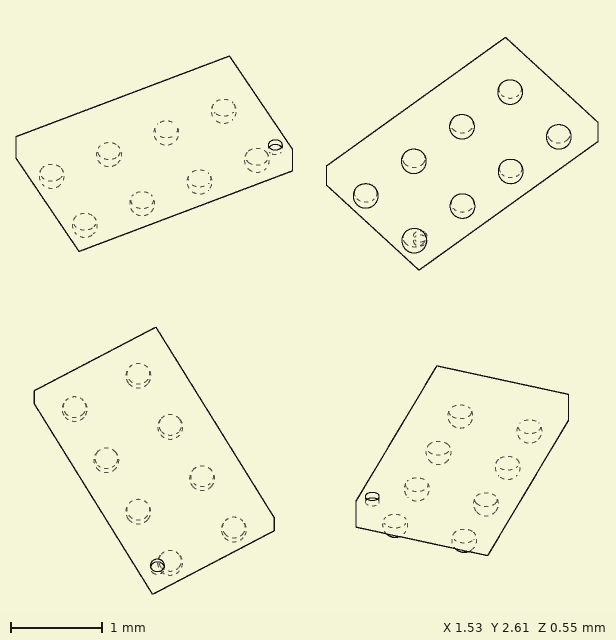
import cadquery as cq

BODY_WIDTH = 1.53
BODY_LENGTH = 2.61
OVERALL_HEIGHT = 0.55
BODY_HEIGHT = 0.36
EDGE_FILLET = 0.01

BALL_DIAMETER = 0.27
BALL_COLUMNS = 2
BALL_ROWS = 4
BALL_PITCH_X = 0.80
BALL_PITCH_Y = 0.70

MARK_DIAMETER = 0.15
MARK_INSET = 0.142
MARK_DEPTH = 0.075

BODY_BOTTOM = OVERALL_HEIGHT - BODY_HEIGHT
BALL_RADIUS = BALL_DIAMETER / 2


def make_body():
    """Rectangular body with all edges slightly rounded."""
    block = cq.Workplane("XY").box(
        BODY_WIDTH, BODY_LENGTH, BODY_HEIGHT, centered=(True, True, False)
    )
    return block.edges().fillet(EDGE_FILLET).translate((0, 0, BODY_BOTTOM))


def make_mark():
    """Shallow round recess in the top face, near the +X +Y corner."""
    mark_x = BODY_WIDTH / 2 - MARK_INSET
    mark_y = BODY_LENGTH / 2 - MARK_INSET
    return (
        cq.Workplane("XY", origin=(mark_x, mark_y, OVERALL_HEIGHT - MARK_DEPTH))
        .circle(MARK_DIAMETER / 2)
        .extrude(MARK_DEPTH)
    )


def make_balls():
    """Grid of solder balls centred under the body, sunk into its underside."""
    return (
        cq.Workplane("XY", origin=(0, 0, BALL_RADIUS))
        .rarray(BALL_PITCH_X, BALL_PITCH_Y, BALL_COLUMNS, BALL_ROWS)
        .sphere(BALL_RADIUS)
    )


result = make_body().cut(make_mark()).union(make_balls())